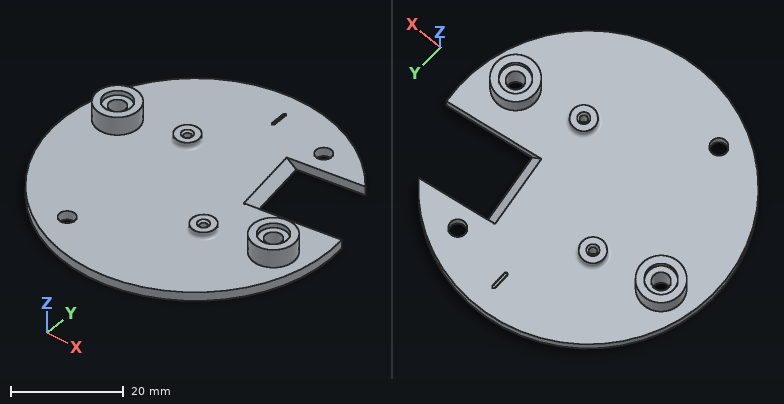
import cadquery as cq
import math

disc_diameter = 60.4
disc_thickness = 2.0

tall_boss_diameter = 9.1
tall_boss_top = 6.05
tall_boss_x = 22.5
tall_boss_y = 6.0
screw_hole_diameter = 3.5
counterbore_diameter = 6.0
counterbore_depth = 1.0

low_boss_diameter = 5.1
low_boss_top = 3.5
low_boss_offset = 9.0
low_boss_fillet = 0.7
pilot_hole_diameter = 1.5
pilot_chamfer = 0.4

plain_hole_diameter = 3.4
bolt_circle_radius = 24.5
bolt_circle_angle = 60.0

notch_angle = 8.0
notch_width = 15.0
notch_inner_distance = 9.95
notch_length = disc_diameter

mark_width = 0.6
mark_length = 3.85
mark_center_y = 23.8
mark_depth = 0.3


def opposite_pair(x, y):
    """A point and its mirror image through the disc centre."""
    return [(x, y), (-x, -y)]


def cylinders(points, diameter, bottom, top):
    """Upright cylinders at the given points, spanning bottom to top."""
    base = cq.Workplane("XY", origin=(0, 0, bottom)).pushPoints(points)
    return base.circle(diameter / 2).extrude(top - bottom)


def low_boss():
    """Low boss on the Z axis, with a concave fillet flaring out at its foot."""
    radius = low_boss_diameter / 2
    foot_radius = radius + low_boss_fillet
    fillet_top = disc_thickness + low_boss_fillet
    fillet_reach = low_boss_fillet * (1 - math.sqrt(0.5))
    return (
        cq.Workplane("XZ")
        .moveTo(0, 0)
        .lineTo(foot_radius, 0)
        .lineTo(foot_radius, disc_thickness)
        .threePointArc((radius + fillet_reach, disc_thickness + fillet_reach), (radius, fillet_top))
        .lineTo(radius, low_boss_top)
        .lineTo(0, low_boss_top)
        .close()
        .revolve(360, (0, 0, 0), (0, 1, 0))
    )


def pilot_hole():
    """Cutter on the Z axis for a pilot hole with a chamfered mouth."""
    radius = pilot_hole_diameter / 2
    return (
        cq.Workplane("XZ")
        .moveTo(0, 0)
        .lineTo(radius, 0)
        .lineTo(radius, low_boss_top - pilot_chamfer)
        .lineTo(radius + pilot_chamfer, low_boss_top)
        .lineTo(0, low_boss_top)
        .close()
        .revolve(360, (0, 0, 0), (0, 1, 0))
    )


def notch():
    """Cutter for the notch: its inner wall slopes at 45 degrees through the disc."""
    outer_end = notch_inner_distance + notch_length
    return (
        cq.Workplane("XZ")
        .moveTo(notch_inner_distance + disc_thickness, 0)
        .lineTo(outer_end, 0)
        .lineTo(outer_end, disc_thickness)
        .lineTo(notch_inner_distance, disc_thickness)
        .close()
        .extrude(-notch_width)
        .rotate((0, 0, 0), (0, 0, 1), notch_angle)
    )


tall_boss_points = opposite_pair(tall_boss_x, -tall_boss_y)
low_boss_points = opposite_pair(low_boss_offset, -low_boss_offset)
plain_hole_points = opposite_pair(
    bolt_circle_radius * math.cos(math.radians(bolt_circle_angle)),
    bolt_circle_radius * math.sin(math.radians(bolt_circle_angle)),
)

result = cylinders([(0, 0)], disc_diameter, 0, disc_thickness)
result = result.cut(notch())

result = result.cut(cylinders(plain_hole_points, plain_hole_diameter, 0, disc_thickness))

counterbore_floor = tall_boss_top - counterbore_depth
result = result.union(cylinders(tall_boss_points, tall_boss_diameter, 0, tall_boss_top))
result = result.cut(cylinders(tall_boss_points, screw_hole_diameter, 0, tall_boss_top))
result = result.cut(cylinders(tall_boss_points, counterbore_diameter, counterbore_floor, tall_boss_top))

for x, y in low_boss_points:
    result = result.union(low_boss().translate((x, y, 0)))
    result = result.cut(pilot_hole().translate((x, y, 0)))

mark = (
    cq.Workplane("XY", origin=(0, mark_center_y, disc_thickness))
    .slot2D(mark_length, mark_width, 90)
    .extrude(-mark_depth)
)
result = result.cut(mark)